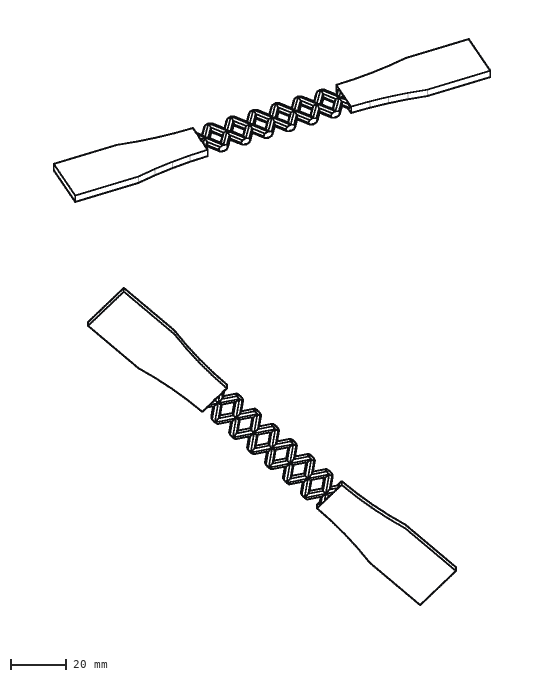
import cadquery as cq
import math

length = 165.0
grip_width = 19.0
neck_width = 13.0
thickness = 3.1

lattice_length = 57.0
cell_pitch = 8.9
cell_count = 6
strut_diameter = thickness
strut_sides = 8

shoulder_start = lattice_length / 2
shoulder_end = 57.5
shoulder_facets = 4


def shoulder_corners():
    """Facet corners on the +X side, from the lattice end out to the grip."""
    full_run = shoulder_end - shoulder_start
    full_rise = (grip_width - neck_width) / 2
    radius = (full_run**2 + full_rise**2) / (2 * full_rise)
    full_angle = math.asin(full_run / radius)
    corners = []
    for facet in range(shoulder_facets + 1):
        angle = full_angle * facet / shoulder_facets
        rise = radius * (1 - math.cos(angle))
        run = radius * math.sin(angle)
        corners.append((neck_width / 2 + rise, shoulder_start + run))
    return corners


def grip():
    """Solid end of the bar on the +Y side: faceted shoulders and a straight grip."""
    right_side = shoulder_corners() + [(grip_width / 2, length / 2)]
    left_side = [(-x, y) for x, y in reversed(right_side)]
    return (
        cq.Workplane("XY")
        .workplane(offset=-thickness / 2)
        .polyline(right_side + left_side)
        .close()
        .extrude(thickness)
    )


def strut(node_y, direction):
    """Octagonal bar with a corner on top, crossing the neck diagonally through (0, node_y)."""
    angle = direction * math.degrees(math.atan2(cell_pitch, neck_width))
    return (
        cq.Workplane("YZ")
        .polygon(strut_sides, strut_diameter)
        .extrude(neck_width, both=True)
        .rotate((0, 0, 0), (0, 0, 1), angle)
        .translate((0, node_y, 0))
    )


def lattice():
    """Crossing struts at every node, trimmed to the neck between the grips."""
    envelope = cq.Workplane("XY").box(neck_width, lattice_length, thickness)
    struts = cq.Workplane("XY")
    for node in range(cell_count + 1):
        node_y = (node - cell_count / 2) * cell_pitch
        for direction in (1, -1):
            struts = struts.add(strut(node_y, direction))
    return struts.combine().intersect(envelope)


upper_grip = grip()
lower_grip = upper_grip.mirror("XZ")
result = upper_grip.union(lattice()).union(lower_grip)